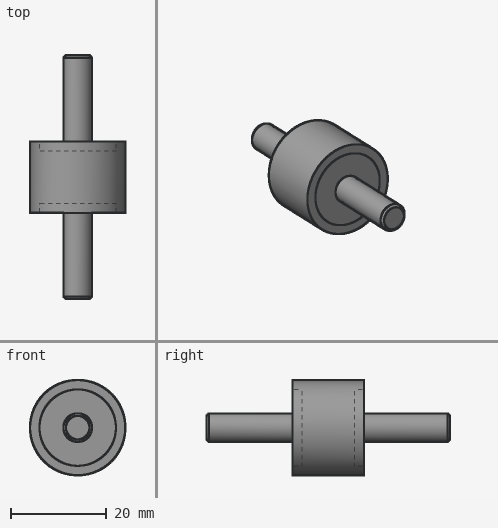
import cadquery as cq

rubber_diameter = 20.0
rubber_length = 15.0

plate_diameter = 16.0
plate_thickness = 2.0

stud_diameter = 6.0
stud_length = 18.0
stud_chamfer = 0.54

end_face_y = rubber_length / 2


def cylinder_along_y(diameter, y_start, length):
    """Solid cylinder on the Y axis, running toward +Y from y_start."""
    return (
        cq.Workplane("XZ", origin=(0, y_start, 0))
        .circle(diameter / 2)
        .extrude(-length)
    )


def make_rubber():
    """Rubber cylinder with a shallow round recess in each end for the stud plates."""
    body = cylinder_along_y(rubber_diameter, -end_face_y, rubber_length)
    for recess_start in (-end_face_y, end_face_y - plate_thickness):
        body = body.cut(cylinder_along_y(plate_diameter, recess_start, plate_thickness))
    return body


def make_stud(side):
    """Round plate flush with one rubber end, and its chamfered stud; side is +1 or -1 along Y."""
    pin = cylinder_along_y(stud_diameter, end_face_y, stud_length).faces(">Y").chamfer(stud_chamfer)
    plate = cylinder_along_y(plate_diameter, end_face_y - plate_thickness, plate_thickness)
    stud = plate.union(pin)
    if side < 0:
        stud = stud.mirror("XZ")
    return stud


rubber = make_rubber()
studs = [make_stud(side) for side in (-1, 1)]

result = cq.Compound.makeCompound([rubber.val(), *[stud.val() for stud in studs]])